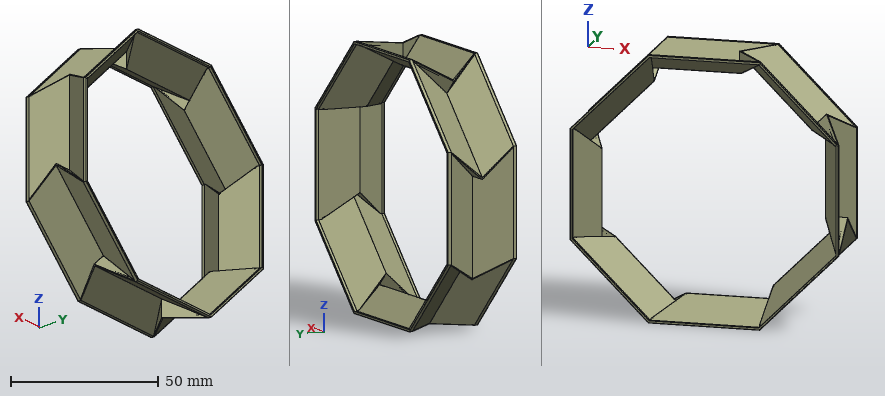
import cadquery as cq
import math

SIDES = 8
ACROSS_FLATS = 93.8
RING_WIDTH = 26.4
RIM_WIDTH = 1.2
SHEET_THICKNESS = 0.75
WALL_TIP_THICKNESS = 0.7
WALL_CREASE_THICKNESS = 0.4
FOLD_ANGLE = 30.0

TURN = 360.0 / SIDES
apothem = ACROSS_FLATS / 2
half_side = apothem * math.tan(math.radians(TURN / 2))
half_width = RING_WIDTH / 2
crease_y = half_width - RIM_WIDTH
fold = math.radians(FOLD_ANGLE)
valley_depth = crease_y * math.tan(fold)

leading_shift = valley_depth / math.tan(math.radians(TURN))
trailing_shift = valley_depth / math.sin(math.radians(TURN))
trailing_tip_x = half_side - trailing_shift


def column(plan):
    """Tall prism over a plan outline, reaching from the ring axis past the flats."""
    return cq.Workplane("XY").polyline(plan).close().extrude(ACROSS_FLATS)


def folded_sheet():
    """Rim, valley and rim of constant thickness, running along X at the top."""
    inner_crease_y = crease_y + SHEET_THICKNESS * math.tan(fold / 2)
    rim_bottom = apothem - SHEET_THICKNESS
    valley_top = apothem - valley_depth
    valley_bottom = valley_top - SHEET_THICKNESS / math.cos(fold)
    section = [
        (-half_width, apothem),
        (-crease_y, apothem),
        (0, valley_top),
        (crease_y, apothem),
        (half_width, apothem),
        (half_width, rim_bottom),
        (inner_crease_y, rim_bottom),
        (0, valley_bottom),
        (-inner_crease_y, rim_bottom),
        (-half_width, rim_bottom),
    ]
    return cq.Workplane("YZ").polyline(section).close().extrude(apothem, both=True)


def chevron_outline():
    """Plan of one side: both ends are V-shaped and point toward -X at the valley."""
    return [
        (-half_side, -half_width),
        (half_side, -half_width),
        (half_side, -crease_y),
        (trailing_tip_x, 0),
        (half_side, crease_y),
        (half_side, half_width),
        (-half_side, half_width),
        (-half_side, crease_y),
        (-half_side - leading_shift, 0),
        (-half_side, -crease_y),
    ]


def end_wall_outline():
    """Plan of the V-shaped wall across the trailing end, thickest at the valley."""
    return [
        (half_side, -crease_y),
        (trailing_tip_x, 0),
        (half_side, crease_y),
        (half_side - WALL_CREASE_THICKNESS, crease_y),
        (trailing_tip_x - WALL_TIP_THICKNESS, 0),
        (half_side - WALL_CREASE_THICKNESS, -crease_y),
    ]


def valley_outline():
    """Plan of the open valley from mid-side to its trailing end."""
    return [
        (0, -crease_y),
        (half_side, -crease_y),
        (trailing_tip_x, 0),
        (half_side, crease_y),
        (0, crease_y),
    ]


def valley_space(plan):
    """Space between the folded walls and the flat of the side, within a plan outline."""
    section = [
        (-crease_y, apothem),
        (0, apothem - valley_depth),
        (crease_y, apothem),
    ]
    space = cq.Workplane("YZ").polyline(section).close().extrude(apothem)
    return space.intersect(column(plan))


def turned(body, index):
    """Copy of a body moved to another side of the ring."""
    return body.rotate((0, 0, 0), (0, 1, 0), index * TURN)


panel = folded_sheet().intersect(column(chevron_outline()))
panel = panel.cut(turned(valley_space(valley_outline()), -1))
panel = panel.union(valley_space(end_wall_outline()))

result = panel
for index in range(1, SIDES):
    result = result.union(turned(panel, index))